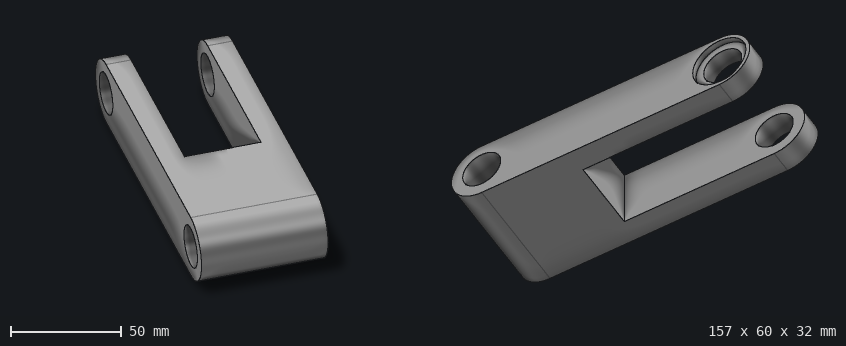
import cadquery as cq

length = 157.0
width = 60.0
height = 32.0
pin_diameter = 20.0
arm_thickness = 12.0
counterbore_diameter = 28.0
counterbore_depth = 3.0
slot_depth = 94.8

pin_spacing = length - height
slot_width = width - 2 * arm_thickness


def make_link_body():
    """Bar with full-round ends, centred on the origin."""
    return (
        cq.Workplane("XZ")
        .slot2D(length, height)
        .extrude(width / 2, both=True)
    )


def make_pin_holes():
    """Cross holes concentric with the rounded ends."""
    return (
        cq.Workplane("XZ")
        .pushPoints([(-pin_spacing / 2, 0), (pin_spacing / 2, 0)])
        .circle(pin_diameter / 2)
        .extrude(width / 2, both=True)
    )


def make_fork_slot():
    """Central slot, open at the -X end, that leaves two arms."""
    return (
        cq.Workplane("XY")
        .box(slot_depth, slot_width, height, centered=(False, True, True))
        .translate((-length / 2, 0, 0))
    )


def make_counterbore():
    """Shallow round recess around the fork hole, in the outer +Y face."""
    return (
        cq.Workplane("XZ", origin=(-pin_spacing / 2, width / 2, 0))
        .circle(counterbore_diameter / 2)
        .extrude(counterbore_depth)
    )


result = (
    make_link_body()
    .cut(make_pin_holes())
    .cut(make_fork_slot())
    .cut(make_counterbore())
)